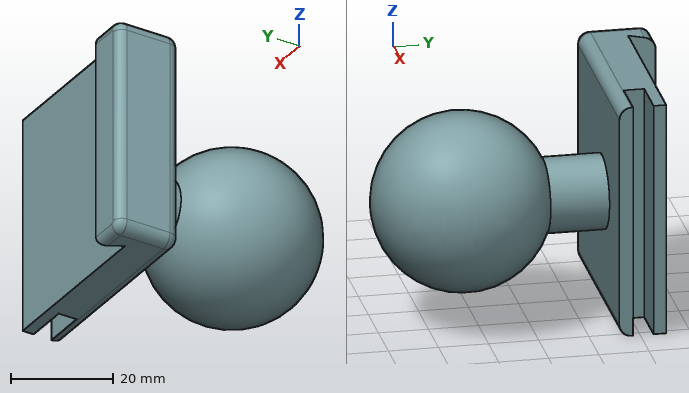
import cadquery as cq
import math

plate_width = 43.6
plate_thickness = 14.3
plate_height = 48.0
edge_radius = 2.5
rear_edge_radius = 2.0

recess_depth = 4.95
recess_root_x = 5.55
undercut_angle = 30

slot_depth = 9.35
slot_front_y = 2.7
slot_width = 4.1

ball_radius = 17.95
total_width = 44.2
total_depth = 60.3
neck_radius = 7.55
ball_x = total_width - ball_radius
ball_y = plate_thickness - total_depth + ball_radius


def rounded_plate():
    plate = cq.Workplane("XY").box(
        plate_width, plate_thickness, plate_height, centered=(False, False, True)
    )
    plate = plate.edges("|Y and <X").fillet(edge_radius)
    plate = plate.faces("<Y").edges("not >X").fillet(edge_radius)
    return plate.faces(">Y").edges("not >X").fillet(rear_edge_radius)


def dovetail_recess():
    floor_y = plate_thickness - recess_depth
    mouth_x = recess_root_x + recess_depth * math.tan(math.radians(undercut_angle))
    return (
        cq.Workplane("XY")
        .polyline([
            (recess_root_x, floor_y),
            (plate_width, floor_y),
            (plate_width, plate_thickness),
            (mouth_x, plate_thickness),
        ])
        .close()
        .extrude(plate_height / 2, both=True)
    )


def end_slot():
    return (
        cq.Workplane("XY")
        .box(slot_depth, slot_width, plate_height, centered=(False, False, True))
        .translate((plate_width - slot_depth, slot_front_y, 0))
    )


def ball_and_neck():
    neck_end_y = ball_y + math.sqrt(ball_radius**2 - neck_radius**2)
    return (
        cq.Workplane("XY")
        .moveTo(ball_x, 0)
        .lineTo(ball_x + neck_radius, 0)
        .lineTo(ball_x + neck_radius, neck_end_y)
        .threePointArc((ball_x + ball_radius, ball_y), (ball_x, ball_y - ball_radius))
        .close()
        .revolve(360, (ball_x, 0, 0), (ball_x, 1, 0))
    )


result = rounded_plate().cut(dovetail_recess()).cut(end_slot()).union(ball_and_neck())